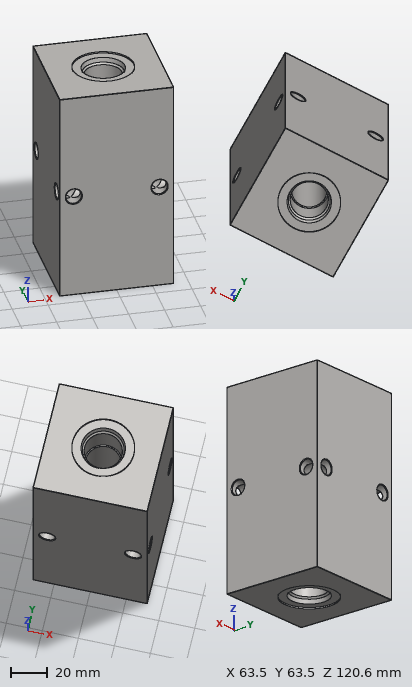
import cadquery as cq

HEIGHT = 120.6
WIDTH = 63.5
EDGE_CHAMFER = 0.22

SPOTFACE_DIAMETER = 34.0
SPOTFACE_DEPTH = 0.8
SEAT_MOUTH_DIAMETER = 24.0
SEAT_BASE_DIAMETER = 22.7
SEAT_DEPTH = 2.5
THREAD_DIAMETER = 20.6
THREAD_DEPTH = 19.3
BORE_DIAMETER = 19.1

HOLE_DIAMETER = 8.7
HOLE_CHAMFER = 0.42
HOLE_SPACING = 47.7


def make_block():
    block = cq.Workplane("XY").box(WIDTH, WIDTH, HEIGHT)
    return block.edges().chamfer(EDGE_CHAMFER)


def make_port():
    """Revolved half section of the upper port, from the top face to the middle of the block."""
    top = HEIGHT / 2
    spotface_floor = top - SPOTFACE_DEPTH
    seat_base = spotface_floor - SEAT_DEPTH
    thread_top = seat_base - (SEAT_BASE_DIAMETER - THREAD_DIAMETER) / 2
    thread_end = top - THREAD_DEPTH
    section = [
        (0, 0),
        (BORE_DIAMETER / 2, 0),
        (BORE_DIAMETER / 2, thread_end),
        (THREAD_DIAMETER / 2, thread_end),
        (THREAD_DIAMETER / 2, thread_top),
        (SEAT_BASE_DIAMETER / 2, seat_base),
        (SEAT_MOUTH_DIAMETER / 2, spotface_floor),
        (SPOTFACE_DIAMETER / 2, spotface_floor),
        (SPOTFACE_DIAMETER / 2, top),
        (0, top),
    ]
    return cq.Workplane("YZ").polyline(section).close().revolve(360, (0, 0), (0, 1))


def make_side_hole():
    """Cutter along Y through the whole block, flared at both mouths."""
    radius = HOLE_DIAMETER / 2
    mouth_radius = radius + HOLE_CHAMFER
    half = WIDTH / 2
    section = [
        (0, -half),
        (mouth_radius, -half),
        (radius, -half + HOLE_CHAMFER),
        (radius, half - HOLE_CHAMFER),
        (mouth_radius, half),
        (0, half),
    ]
    return cq.Workplane("XY").polyline(section).close().revolve(360, (0, 0), (0, 1))


port = make_port()
result = make_block().cut(port).cut(port.mirror("XY"))

side_hole = make_side_hole()
for offset in (-HOLE_SPACING / 2, HOLE_SPACING / 2):
    hole_along_y = side_hole.translate((offset, 0, 0))
    hole_along_x = hole_along_y.rotate((0, 0, 0), (0, 0, 1), 90)
    result = result.cut(hole_along_y).cut(hole_along_x)